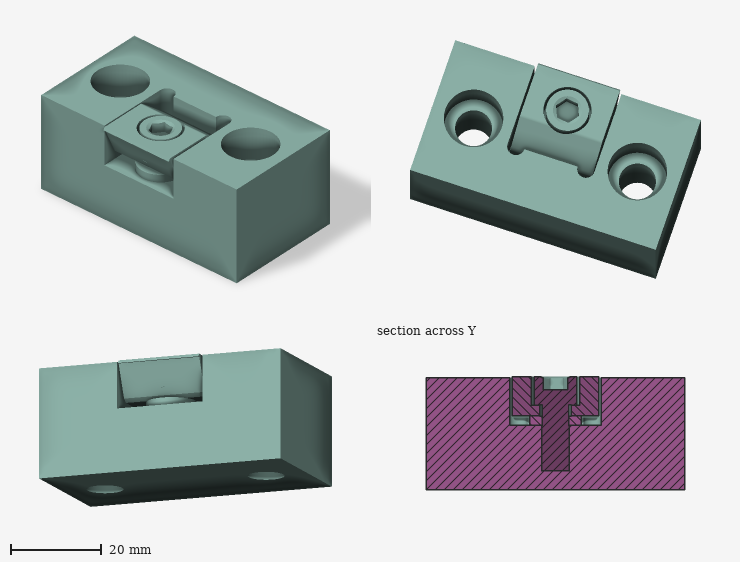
import cadquery as cq
import math


block_length = 57.15
block_depth = 31.25
block_height = 24.85

mount_spacing = 38.1
mount_hole_diameter = 8.2
mount_bore_diameter = 13.15
mount_bore_depth = 8.45

slot_width = 20.2
slot_length = 18.75
slot_depth = 10.5
relief_radius = 1.95
slot_floor = block_height - slot_depth

jaw_width = 19.1
jaw_height = 8.7
jaw_proud = 0.2
jaw_overhang = 1.0
jaw_back = 18.6
jaw_top = block_height + jaw_proud
jaw_bottom = jaw_top - jaw_height
lip_height = 0.7
lip_setback = 0.4
lip_undercut = 0.45
front_run = 3.3
chamfer_height = 0.75
chamfer_run = 1.15
foot_start = 13.7
foot_run = 0.2
foot_height = 0.35
ramp_start = 11.8
ramp_angle = 37
ramp_top_radius = 1.05
ramp_bottom_radius = 1.5

screw_y = 7.3
head_diameter = 9.45
head_bore_diameter = 10.65
head_bore_depth = 6.3
shank_diameter = 6.0
jaw_hole_diameter = 6.85
thread_depth = 10.0
hex_across_flats = 4.85
hex_turn = -7
socket_depth = 2.85
socket_mouth_diameter = 6.4
mouth_angle = 60
head_seat = jaw_top - head_bore_depth

ring_diameter = 11.45
ring_height = jaw_bottom - slot_floor


def cylinder(diameter, bottom, height, x=0, y=screw_y):
    """Vertical cylinder standing on the level `bottom`."""
    return cq.Workplane("XY", origin=(x, y, bottom)).circle(diameter / 2).extrude(height)


def make_block():
    body = cq.Workplane("XY").box(block_length, block_depth, block_height, centered=(True, False, False))
    slot = cq.Workplane("XY", origin=(0, 0, slot_floor)).box(
        slot_width, slot_length, slot_depth, centered=(True, False, False)
    )
    body = body.cut(slot)
    for side in (-1, 1):
        relief_x = side * (slot_width / 2 - relief_radius)
        body = body.cut(cylinder(2 * relief_radius, slot_floor, slot_depth, relief_x, slot_length))
        mount_x = side * mount_spacing / 2
        mount_y = block_depth / 2
        body = body.cut(cylinder(mount_hole_diameter, 0, block_height, mount_x, mount_y))
        bore_floor = block_height - mount_bore_depth
        body = body.cut(cylinder(mount_bore_diameter, bore_floor, mount_bore_depth, mount_x, mount_y))
    return body.cut(cylinder(shank_diameter, slot_floor - thread_depth, thread_depth))


def make_jaw():
    tip_y = -jaw_overhang
    lip_bottom = jaw_top - lip_height
    face_start = tip_y + lip_undercut
    face_end = face_start + front_run
    ramp_end = jaw_top - (jaw_back - ramp_start) * math.tan(math.radians(ramp_angle))
    profile = [
        (tip_y + lip_setback, jaw_top),
        (tip_y, lip_bottom),
        (face_start, lip_bottom),
        (face_end, jaw_bottom + chamfer_height),
        (face_end + chamfer_run, jaw_bottom),
        (foot_start, jaw_bottom),
        (foot_start + foot_run, jaw_bottom - foot_height),
        (jaw_back, jaw_bottom - foot_height),
        (jaw_back, ramp_end),
        (ramp_start, jaw_top),
    ]
    body = cq.Workplane("YZ").polyline(profile).close().extrude(jaw_width / 2, both=True)
    body = body.edges(cq.NearestToPointSelector((0, ramp_start, jaw_top))).fillet(ramp_top_radius)
    body = body.edges(cq.NearestToPointSelector((0, jaw_back, ramp_end))).fillet(ramp_bottom_radius)
    body = body.cut(cylinder(jaw_hole_diameter, jaw_bottom, jaw_height))
    return body.cut(cylinder(head_bore_diameter, head_seat, head_bore_depth))


def make_screw():
    shank_bottom = slot_floor - thread_depth
    body = cylinder(shank_diameter, shank_bottom, head_seat - shank_bottom)
    body = body.union(cylinder(head_diameter, head_seat, head_bore_depth))
    hex_corners = hex_across_flats / math.cos(math.radians(30))
    socket = (
        cq.Workplane("XY", origin=(0, screw_y, jaw_top))
        .transformed(rotate=(0, 0, hex_turn))
        .polygon(6, hex_corners)
        .extrude(-socket_depth)
    )
    mouth_depth = (socket_mouth_diameter - hex_across_flats) / 2 / math.tan(math.radians(mouth_angle))
    mouth = (
        cq.Workplane("XY", origin=(0, screw_y, jaw_top))
        .circle(socket_mouth_diameter / 2)
        .extrude(-mouth_depth, taper=mouth_angle)
    )
    return body.cut(socket).cut(mouth)


def make_ring():
    return cylinder(ring_diameter, slot_floor, ring_height).cut(
        cylinder(shank_diameter, slot_floor, ring_height)
    )


block = make_block()
jaw = make_jaw()
screw = make_screw()
ring = make_ring()

result = cq.Compound.makeCompound([block.val(), jaw.val(), screw.val(), ring.val()])